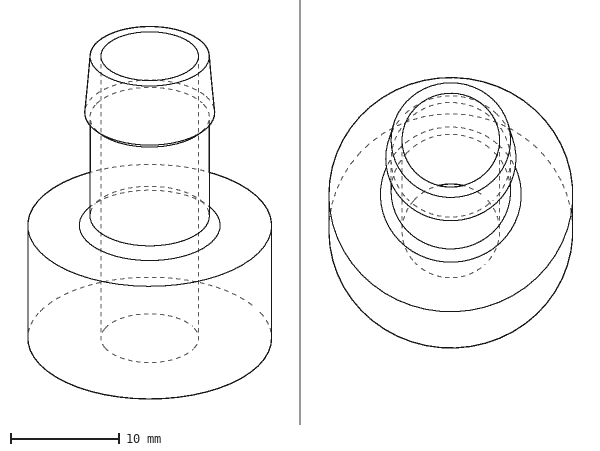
import cadquery as cq

total_height = 30.0

base_diameter = 22.5
base_height = 12.0

bore_diameter = 9.0
neck_diameter = 11.0
root_chamfer = 1.0

barb_diameter = 12.0
barb_taper_length = 6.0

base_radius = base_diameter / 2
bore_radius = bore_diameter / 2
neck_radius = neck_diameter / 2
barb_radius = barb_diameter / 2

barb_crest_z = total_height - barb_taper_length
barb_underside_z = barb_crest_z - (barb_radius - neck_radius)

half_section = [
    (bore_radius, 0),
    (base_radius, 0),
    (base_radius, base_height),
    (neck_radius + root_chamfer, base_height),
    (neck_radius, base_height + root_chamfer),
    (neck_radius, barb_underside_z),
    (barb_radius, barb_crest_z),
    (neck_radius, total_height),
    (bore_radius, total_height),
]

result = (
    cq.Workplane("XZ")
    .polyline(half_section)
    .close()
    .revolve(360, (0, 0, 0), (0, 1, 0))
)